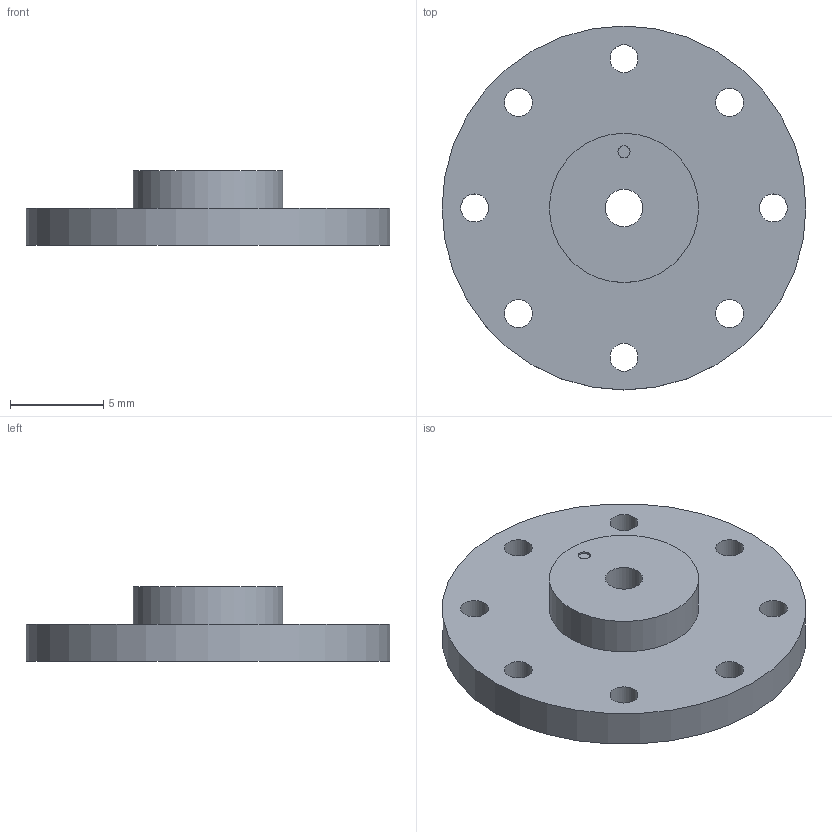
import cadquery as cq

flange_diameter = 19.5
flange_thickness = 2.0

hub_diameter = 8.0
hub_height = 2.0
total_height = flange_thickness + hub_height

bore_diameter = 2.0
bolt_hole_count = 8
bolt_hole_diameter = 1.5
bolt_circle_radius = 8.0

mark_diameter = 0.65
mark_depth = 0.1
mark_offset_y = 3.0


def cylinder(diameter, height, base_z=0.0):
    """Upright cylinder centred on the Z axis."""
    return cq.Workplane("XY").workplane(offset=base_z).circle(diameter / 2).extrude(height)


def bolt_holes():
    """Ring of evenly spaced cutters through the flange, the first on +X."""
    return (
        cq.Workplane("XY")
        .polarArray(bolt_circle_radius, 0, 360, bolt_hole_count)
        .circle(bolt_hole_diameter / 2)
        .extrude(flange_thickness)
    )


def index_mark():
    """Cutter for the shallow mark sunk into the top of the hub."""
    mark = cylinder(mark_diameter, mark_depth, total_height - mark_depth)
    return mark.translate((0, mark_offset_y, 0))


flange = cylinder(flange_diameter, flange_thickness)
hub = cylinder(hub_diameter, hub_height, flange_thickness)
bore = cylinder(bore_diameter, total_height)

result = flange.union(hub).cut(bore).cut(bolt_holes()).cut(index_mark())